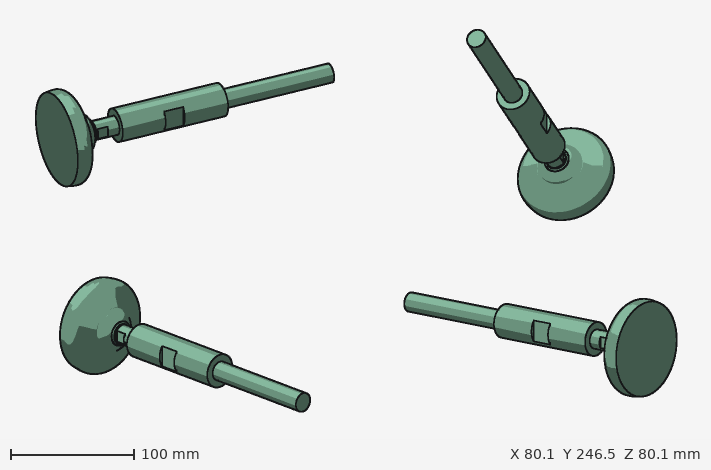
import cadquery as cq

TOTAL_LENGTH = 246.5

FOOT_RADIUS = 40.05
FOOT_BASE_RADIUS = 39.2
FOOT_TAPER_HEIGHT = 6.2
FOOT_RIM_HEIGHT = 9.0
SHOULDER_MID = (38.0, 13.3)
SHOULDER_END = (34.3, 15.8)
CONE_END = (19.7, 22.0)
THROAT_MID = (18.5, 22.55)
DOME_START = (17.7, 23.5)
DOME_MID = (14.3, 27.5)
DOME_END = (9.5, 29.8)
LIP_RADIUS = 10.4
LIP_HEIGHT = 30.5
LIP_TOP_RADIUS = 8.5
LIP_TOP_HEIGHT = 31.5
SOCKET_FLOOR = 23.5

SPINDLE_RADIUS = 8.0
NECK_RADIUS = 6.7
NECK_TOP = 31.3
SPINDLE_SHOULDER = 32.3
SPINDLE_FLAT_START = 33.5
SPINDLE_FLAT_END = 42.6
SPINDLE_FLAT_WIDTH = 13.0

SLEEVE_RADIUS = 14.0
SLEEVE_START = 52.8
SLEEVE_END = 148.0
SLEEVE_FLAT_START = 91.5
SLEEVE_FLAT_END = 108.7
SLEEVE_FLAT_WIDTH = 22.0


def revolve_about_y(profile):
    return profile.close().revolve(360, (0, 0, 0), (0, 1, 0))


def cut_wrench_flats(body, radius, width, start, end):
    """Cut a pair of opposite flats, facing -X and +X, between two Y positions."""
    depth = radius - width / 2
    for side in (-1, 1):
        center = (side * (width + depth) / 2, (start + end) / 2, 0)
        cutter = cq.Workplane("XY").box(depth, end - start, 2 * radius).translate(center)
        body = body.cut(cutter)
    return body


def make_foot():
    """Domed round foot with a flared lip and a blind socket for the spindle neck."""
    profile = (
        cq.Workplane("XY")
        .lineTo(FOOT_BASE_RADIUS, 0)
        .lineTo(FOOT_RADIUS, FOOT_TAPER_HEIGHT)
        .lineTo(FOOT_RADIUS, FOOT_RIM_HEIGHT)
        .threePointArc(SHOULDER_MID, SHOULDER_END)
        .lineTo(*CONE_END)
        .threePointArc(THROAT_MID, DOME_START)
        .threePointArc(DOME_MID, DOME_END)
        .lineTo(LIP_RADIUS, LIP_HEIGHT)
        .lineTo(LIP_TOP_RADIUS, LIP_TOP_HEIGHT)
        .lineTo(NECK_RADIUS, LIP_HEIGHT)
        .lineTo(NECK_RADIUS, SOCKET_FLOOR)
        .lineTo(0, SOCKET_FLOOR)
    )
    return revolve_about_y(profile)


def make_spindle():
    """Round rod through the sleeve, necked down where it enters the foot."""
    profile = (
        cq.Workplane("XY")
        .moveTo(0, SOCKET_FLOOR)
        .lineTo(NECK_RADIUS, SOCKET_FLOOR)
        .lineTo(NECK_RADIUS, NECK_TOP)
        .lineTo(SPINDLE_RADIUS, SPINDLE_SHOULDER)
        .lineTo(SPINDLE_RADIUS, TOTAL_LENGTH)
        .lineTo(0, TOTAL_LENGTH)
    )
    return cut_wrench_flats(
        revolve_about_y(profile), SPINDLE_RADIUS, SPINDLE_FLAT_WIDTH, SPINDLE_FLAT_START, SPINDLE_FLAT_END
    )


def make_sleeve():
    """Tube around the spindle with a pair of wrench flats at mid-length."""
    profile = (
        cq.Workplane("XY")
        .moveTo(SPINDLE_RADIUS, SLEEVE_START)
        .lineTo(SLEEVE_RADIUS, SLEEVE_START)
        .lineTo(SLEEVE_RADIUS, SLEEVE_END)
        .lineTo(SPINDLE_RADIUS, SLEEVE_END)
    )
    return cut_wrench_flats(
        revolve_about_y(profile), SLEEVE_RADIUS, SLEEVE_FLAT_WIDTH, SLEEVE_FLAT_START, SLEEVE_FLAT_END
    )


foot = make_foot()
spindle = make_spindle()
sleeve = make_sleeve()

result = cq.Compound.makeCompound([foot.val(), spindle.val(), sleeve.val()])